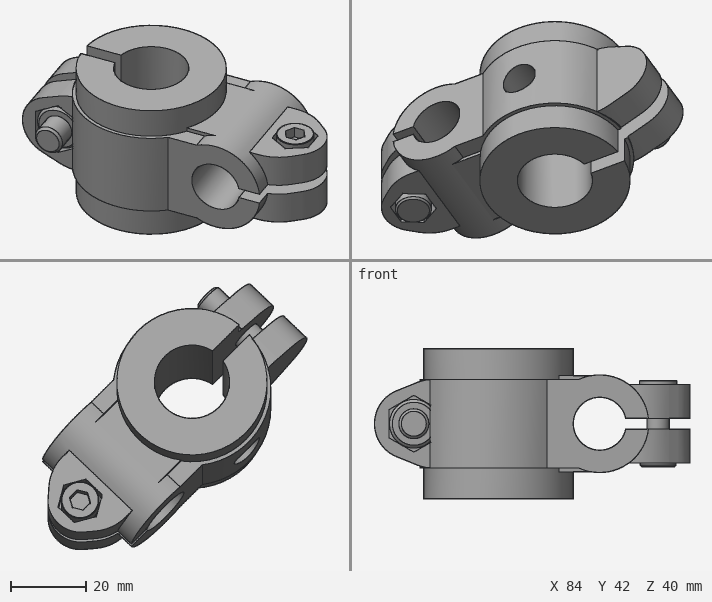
import cadquery as cq
import math

sleeve_height = 40.0
sleeve_diameter = 40.0
sleeve_bore = 20.0
sleeve_slot = 3.9
collar_diameter = 42.0
collar_height = 23.5
set_screw_hole = 9.6

cross_x = 27.0
cross_diameter = 26.0
cross_length = 33.1
cross_bore = 14.0
cross_slot = 2.85
pad_width = 23.5
pad_height = 25.6

ear_width = 23.5
ear_thickness = 21.0
shoulder_radius = 12.6
sleeve_ear_shoulder_x = -17.3
sleeve_ear_tip_radius = 9.5
sleeve_ear_end_x = -33.0
cross_ear_shoulder_x = 37.3
cross_ear_tip_radius = 8.7
cross_ear_end_x = 51.0

sleeve_bolt_x = -22.5
sleeve_bolt_diameter = 8.0
sleeve_bolt_end_y = -16.6
sleeve_bolt_chamfer = 0.7
sleeve_nut_diameter = 12.9
sleeve_nut_height = 5.3
sleeve_nut_chamfer = 0.75
sleeve_pocket_flats = 13.1
sleeve_pocket_depth = 5.55

cross_bolt_x = 42.5
cross_bolt_diameter = 6.0
cross_head_diameter = 10.0
cross_head_chamfer = 0.2
cross_nut_diameter = 9.6
cross_nut_chamfer = 0.5
cross_fastener_height = 6.0
cross_fastener_rise = 1.0
cross_pocket_flats = 10.6
socket_flats = 4.95
socket_depth = 3.0

corners_per_flats = 2 / math.sqrt(3)
ear_face = ear_thickness / 2


def cylinder(plane, diameter, start, end):
    """Cylinder on the plane's normal axis, between two offsets from the plane."""
    return cq.Workplane(plane).workplane(offset=start).circle(diameter / 2).extrude(end - start)


def hexagon(flats, start, end, turn):
    """Hexagonal prism along Z, with its corners turned from the X axis."""
    outline = cq.Workplane("XY").workplane(offset=start).polygon(6, flats * corners_per_flats)
    return outline.extrude(end - start).rotate((0, 0, 0), (0, 0, 1), turn)


def along_y(body):
    """Turn a body modelled along Z so that its top faces -Y."""
    return body.rotate((0, 0, 0), (1, 0, 0), 90)


def ear(root, shoulder, end, tip_radius):
    """Ear along +X, centred on the XY plane; an arc, a flat and a round tip joined tangentially."""
    half_width = ear_width / 2
    shoulder_y = half_width - shoulder_radius
    tip_x = end - tip_radius
    reach = tip_x - shoulder
    tilt = math.asin((shoulder_radius - tip_radius) / math.hypot(reach, shoulder_y))
    flat_angle = tilt + math.atan2(shoulder_y, reach)

    def shoulder_point(angle):
        x = shoulder + shoulder_radius * math.sin(angle)
        y = shoulder_y + shoulder_radius * math.cos(angle)
        return (x, y)

    def mirrored(point):
        return (point[0], -point[1])

    shoulder_middle = shoulder_point(flat_angle / 2)
    shoulder_end = shoulder_point(flat_angle)
    tip_start = (tip_x + tip_radius * math.sin(flat_angle), tip_radius * math.cos(flat_angle))
    outline = (
        cq.Workplane("XY")
        .moveTo(root, half_width)
        .lineTo(shoulder, half_width)
        .threePointArc(shoulder_middle, shoulder_end)
        .lineTo(*tip_start)
        .threePointArc((end, 0), mirrored(tip_start))
        .lineTo(*mirrored(shoulder_end))
        .threePointArc(mirrored(shoulder_middle), (shoulder, -half_width))
        .lineTo(root, -half_width)
        .close()
    )
    return outline.extrude(ear_face, both=True)


body = cylinder("XY", sleeve_diameter, -sleeve_height / 2, sleeve_height / 2)
body = body.union(cylinder("XY", collar_diameter, -collar_height / 2, collar_height / 2))

barrel = cylinder("XZ", cross_diameter, -cross_length / 2, cross_length / 2)
body = body.union(barrel.translate((cross_x, 0, 0)))
for width, height in ((cross_length, collar_height), (pad_width, pad_height)):
    body = body.union(cq.Workplane("XY").box(cross_x, width, height).translate((cross_x / 2, 0, 0)))

sleeve_ear = ear(0, -sleeve_ear_shoulder_x, -sleeve_ear_end_x, sleeve_ear_tip_radius)
body = body.union(along_y(sleeve_ear).mirror("YZ"))
body = body.union(ear(cross_x, cross_ear_shoulder_x, cross_ear_end_x, cross_ear_tip_radius))

body = body.cut(cylinder("XY", sleeve_bore, -sleeve_height / 2, sleeve_height / 2))
barrel_bore = cylinder("XZ", cross_bore, -cross_length / 2, cross_length / 2)
body = body.cut(barrel_bore.translate((cross_x, 0, 0)))
sleeve_slot_length = -sleeve_ear_end_x
sleeve_gap = cq.Workplane("XY").box(sleeve_slot_length, sleeve_slot, sleeve_height)
body = body.cut(sleeve_gap.translate((-sleeve_slot_length / 2, 0, 0)))
cross_slot_length = cross_ear_end_x - cross_x
cross_gap = cq.Workplane("XY").box(cross_slot_length, cross_length, cross_slot)
body = body.cut(cross_gap.translate((cross_x + cross_slot_length / 2, 0, 0)))

body = body.cut(cylinder("XZ", set_screw_hole, -collar_diameter / 2, 0))

sleeve_seat = ear_face - sleeve_pocket_depth
sleeve_pocket = hexagon(sleeve_pocket_flats, sleeve_seat, ear_face, 90)
sleeve_nut = cylinder("XY", sleeve_nut_diameter, sleeve_seat, sleeve_seat + sleeve_nut_height)
sleeve_nut = sleeve_nut.faces(">Z").chamfer(sleeve_nut_chamfer)
sleeve_shank = cylinder("XY", sleeve_bolt_diameter, -sleeve_seat, -sleeve_bolt_end_y)
sleeve_shank = sleeve_shank.faces(">Z").chamfer(sleeve_bolt_chamfer)
sleeve_bolt = sleeve_nut.union(sleeve_shank)
body = body.cut(along_y(sleeve_pocket).translate((sleeve_bolt_x, 0, 0)))
body = body.union(along_y(sleeve_bolt).translate((sleeve_bolt_x, 0, 0)))

fastener_top = ear_face + cross_fastener_rise
fastener_seat = fastener_top - cross_fastener_height
cross_head = cylinder("XY", cross_head_diameter, fastener_seat, fastener_top)
cross_head = cross_head.faces(">Z").chamfer(cross_head_chamfer)
cross_head = cross_head.cut(hexagon(socket_flats, fastener_top - socket_depth, fastener_top, 0))
cross_nut = cylinder("XY", cross_nut_diameter, -fastener_top, -fastener_seat)
cross_nut = cross_nut.faces("<Z").chamfer(cross_nut_chamfer)
cross_shank = cylinder("XY", cross_bolt_diameter, -fastener_seat, fastener_seat)
cross_bolt = cross_head.union(cross_shank).union(cross_nut)
for start, end in ((fastener_seat, ear_face), (-ear_face, -fastener_seat)):
    cross_pocket = hexagon(cross_pocket_flats, start, end, 90)
    body = body.cut(cross_pocket.translate((cross_bolt_x, 0, 0)))
body = body.union(cross_bolt.translate((cross_bolt_x, 0, 0)))

result = body